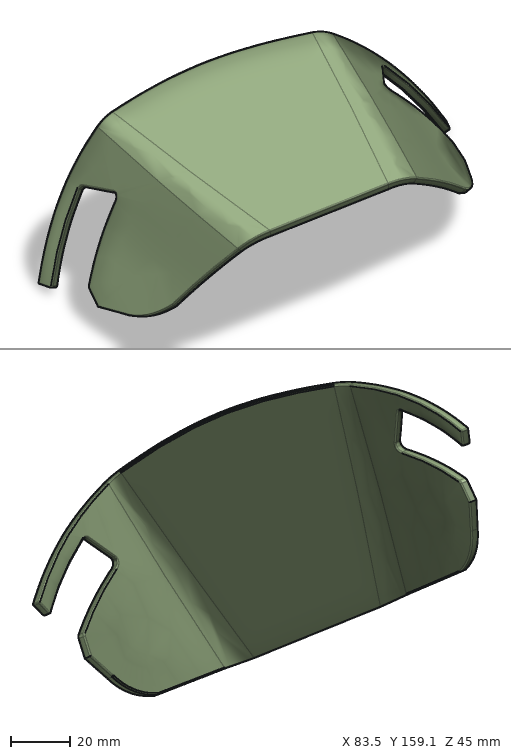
import cadquery as cq
import math

LENGTH = 83.49
THICKNESS = 3.0
WING_RADIUS = 112.0
WING_START_ANGLE = 32.1
EDGE_ROUND = 0.5
CUT_MARGIN = 5.0
SHARP_ANGLE = 60.0
JOIN_TOLERANCE = 0.01
BLOCK_DEPTH = 60.0

SECTIONS = [
    (-CUT_MARGIN, 44.3, 11.5),
    (LENGTH / 2, 36.9, 16.3),
    (LENGTH + CUT_MARGIN, 28.1, 20.5),
]

HALF_SPAN = 100.0

FRONT_EDGE = [(0, 0), (5.7, 40.3), (13.7, 63.2), (25.6, 79.8), (30.0, 84.0)]

ARM_TIP_FRONT = (19.0, -45.7)
ARM_TIP_REAR = (31.7, -42.2)
SLOT_FRONT = (18.3, -14.3)
SLOT_REAR = (32.1, -9.9)
LOBE_FRONT = (44.4, -34.5)
LOBE_BOTTOM = (51.7, -37.5)
LOBE_CURVE_START = (62.0, -34.3)
LOBE_CURVE_MIDDLE = (70.6, -30.3)
LOBE_CURVE_END = (76.8, -23.5)

OUTLINE_ROUNDS = [
    (SLOT_REAR, 3.0),
    (LOBE_FRONT, 2.0),
    (ARM_TIP_REAR, 0.8),
    (SLOT_FRONT, 0.8),
]


def section(x, half_width, bend_radius):
    """Closed section of the raw block at x: flat top, tangent bends and curved wings."""
    start = math.radians(WING_START_ANGLE)
    wing_y = half_width - WING_RADIUS * math.sin(start)
    wing_z = -WING_RADIUS * math.cos(start)
    reach = WING_RADIUS - bend_radius
    bend_y = wing_y + math.sqrt(reach**2 - (wing_z + bend_radius) ** 2)
    bend_end = math.acos((-bend_radius - wing_z) / reach)
    wing_end = math.acos((-BLOCK_DEPTH - wing_z) / WING_RADIUS)

    def on_bend(angle):
        return (bend_y + bend_radius * math.sin(angle), bend_radius * (math.cos(angle) - 1))

    def on_wing(angle):
        return (wing_y + WING_RADIUS * math.sin(angle), wing_z + WING_RADIUS * math.cos(angle))

    def mirrored(point):
        return (-point[0], point[1])

    bend = [on_bend(0), on_bend(bend_end / 2), on_bend(bend_end)]
    wing = [on_wing((bend_end + wing_end) / 2), on_wing(wing_end)]
    return (
        cq.Workplane("YZ", origin=(x, 0, 0))
        .moveTo(*mirrored(bend[0]))
        .lineTo(*bend[0])
        .threePointArc(bend[1], bend[2])
        .threePointArc(wing[0], wing[1])
        .lineTo(*mirrored(wing[1]))
        .threePointArc(mirrored(wing[0]), mirrored(bend[2]))
        .threePointArc(mirrored(bend[1]), mirrored(bend[0]))
        .close()
        .val()
    )


def raw_block():
    """Smooth loft through the sections; its outer faces are the outer faces of the sheet."""
    return cq.Workplane(cq.Solid.makeLoft([section(*s) for s in SECTIONS]))


def side_outline():
    """Wing outline with slot, extruded across the whole width."""
    outline = (
        cq.Workplane("XZ")
        .moveTo(-CUT_MARGIN, ARM_TIP_FRONT[1])
        .lineTo(*ARM_TIP_FRONT)
        .lineTo(*ARM_TIP_REAR)
        .lineTo(*SLOT_FRONT)
        .lineTo(*SLOT_REAR)
        .lineTo(*LOBE_FRONT)
        .lineTo(*LOBE_BOTTOM)
        .lineTo(*LOBE_CURVE_START)
        .threePointArc(LOBE_CURVE_MIDDLE, LOBE_CURVE_END)
        .lineTo(LENGTH, 0)
        .lineTo(LENGTH, CUT_MARGIN)
        .lineTo(-CUT_MARGIN, CUT_MARGIN)
        .close()
        .extrude(HALF_SPAN, both=True)
    )
    for (x, z), radius in OUTLINE_ROUNDS:
        corner = cq.selectors.NearestToPointSelector((x, 0, z))
        outline = outline.edges("|Y").edges(corner).fillet(radius)
    return outline


def plan_outline():
    """Bowed front edge, extruded through the full height."""
    half = FRONT_EDGE[1:]
    other_half = [(x, -y) for x, y in reversed(half)]
    return (
        cq.Workplane("XY")
        .moveTo(*other_half[0])
        .spline(other_half[1:] + FRONT_EDGE, includeCurrent=True)
        .lineTo(LENGTH + CUT_MARGIN, half[-1][1])
        .lineTo(LENGTH + CUT_MARGIN, other_half[0][1])
        .close()
        .extrude(BLOCK_DEPTH, both=True)
    )


def outer_patches():
    """Trimmed flat, bend and wing patches of the outer surface."""
    trim = side_outline().intersect(plan_outline()).val()
    skin = raw_block().faces("not(<X or >X or <Z)").vals()
    return [patch for face in skin for patch in face.intersect(trim).Faces()]


def joined_sheet():
    """Patches thickened inwards, so every cut edge is square to the surface, then joined."""
    pieces = [patch.thicken(-THICKNESS) for patch in outer_patches()]
    return pieces[0].fuse(*pieces[1:], tol=JOIN_TOLERANCE).Solids()[0]


def sharp_edges(solid):
    """Edges whose two faces turn by more than SHARP_ANGLE; the smooth seams are left out."""
    found = []
    for edge in solid.Edges():
        middle = edge.positionAt(0.5)
        first, second = [face.normalAt(middle) for face in edge.ancestors(solid, "Face").Faces()]
        if math.degrees(first.getAngle(second)) > SHARP_ANGLE:
            found.append(edge)
    return found


sheet = joined_sheet()
rounded_sheet = sheet.fillet(EDGE_ROUND, sharp_edges(sheet))
result = cq.Workplane(rounded_sheet.Solids()[0])